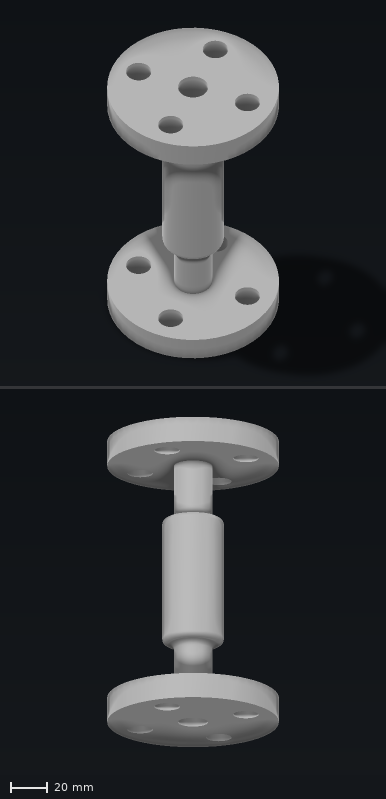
import cadquery as cq
import math

length = 162.0

flange_diameter = 95.0
flange_thickness = 14.0
bolt_circle_diameter = 65.0
bolt_hole_diameter = 14.0
bolt_hole_count = 4
first_bolt_angle = 45.0

pipe_diameter = 21.3
bore_diameter = 16.7

body_diameter = 34.1
body_length = 72.0
shoulder_radius = 3.0
neck_radius = 3.0


def cylinder(diameter, height, bottom):
    """Solid cylinder on the Z axis, starting at height `bottom`."""
    return cq.Workplane("XY").workplane(offset=bottom).circle(diameter / 2).extrude(height)


def make_body_and_pipe():
    """Pipe and sleeve revolved about Z, with a concave neck and a rounded shoulder at each end."""
    pipe_radius = pipe_diameter / 2
    body_radius = body_diameter / 2
    pipe_end = length / 2
    shoulder = body_length / 2
    neck_top = shoulder + neck_radius
    side_end = shoulder - shoulder_radius
    return (
        cq.Workplane("XZ")
        .moveTo(0, -pipe_end)
        .lineTo(pipe_radius, -pipe_end)
        .lineTo(pipe_radius, -neck_top)
        .radiusArc((pipe_radius + neck_radius, -shoulder), neck_radius)
        .lineTo(body_radius - shoulder_radius, -shoulder)
        .radiusArc((body_radius, -side_end), -shoulder_radius)
        .lineTo(body_radius, side_end)
        .radiusArc((body_radius - shoulder_radius, shoulder), -shoulder_radius)
        .lineTo(pipe_radius + neck_radius, shoulder)
        .radiusArc((pipe_radius, neck_top), neck_radius)
        .lineTo(pipe_radius, pipe_end)
        .lineTo(0, pipe_end)
        .close()
        .revolve(360, (0, 0, 0), (0, 1, 0))
    )


def make_flange(bottom):
    """Round flange with bolt holes, starting at height `bottom`."""
    flange = cylinder(flange_diameter, flange_thickness, bottom)
    for index in range(bolt_hole_count):
        angle = math.radians(first_bolt_angle + index * 360 / bolt_hole_count)
        x = bolt_circle_diameter / 2 * math.cos(angle)
        y = bolt_circle_diameter / 2 * math.sin(angle)
        hole = cylinder(bolt_hole_diameter, flange_thickness, bottom).translate((x, y, 0))
        flange = flange.cut(hole)
    return flange


lower_flange = make_flange(-length / 2)
upper_flange = make_flange(length / 2 - flange_thickness)
bore = cylinder(bore_diameter, length, -length / 2)

result = make_body_and_pipe().union(lower_flange).union(upper_flange).cut(bore)